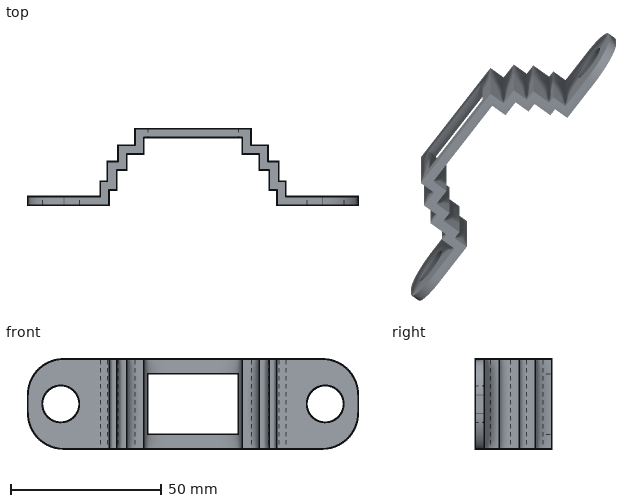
import cadquery as cq

length = 110.0
depth = 25.5
height = 30.0
wall = 3.0

thick_riser = 3.3
tiers = [
    (30.9, 8.0, wall),
    (28.6, 14.6, thick_riser),
    (25.0, 20.0, wall),
    (19.4, depth, wall),
]

ear_radius = 12.0
hole_diameter = 12.2
hole_offset = 44.0

window_width = 30.0
window_height = 20.0


def stepped_edge(base_y, steps):
    """Points of one stepped edge, from the right ear tip over the crown to the left."""
    right_half = [(length / 2, base_y)]
    y = base_y
    for x, next_y in steps:
        right_half.append((x, y))
        right_half.append((x, next_y))
        y = next_y
    left_half = [(-x, y) for x, y in reversed(right_half)]
    return right_half + left_half


def make_strip():
    """Bent strip of stepped profile with rounded ear corners."""
    back_edge = stepped_edge(wall, [(x, y) for x, y, riser in tiers])
    front_edge = stepped_edge(0, [(x - riser, y - wall) for x, y, riser in tiers])
    outline = back_edge + front_edge[::-1]
    strip = cq.Workplane("XY").polyline(outline).close().extrude(height / 2, both=True)
    return strip.edges("|Y and (<X or >X)").fillet(ear_radius)


def make_holes():
    """Cutters for the round hole in each ear."""
    centers = [(-hole_offset, 0), (hole_offset, 0)]
    circles = cq.Workplane("XZ").pushPoints(centers).circle(hole_diameter / 2)
    return circles.extrude(depth, both=True)


def make_window():
    """Cutter for the rectangular opening in the crown."""
    return cq.Workplane("XZ").rect(window_width, window_height).extrude(depth, both=True)


result = make_strip().cut(make_holes()).cut(make_window())